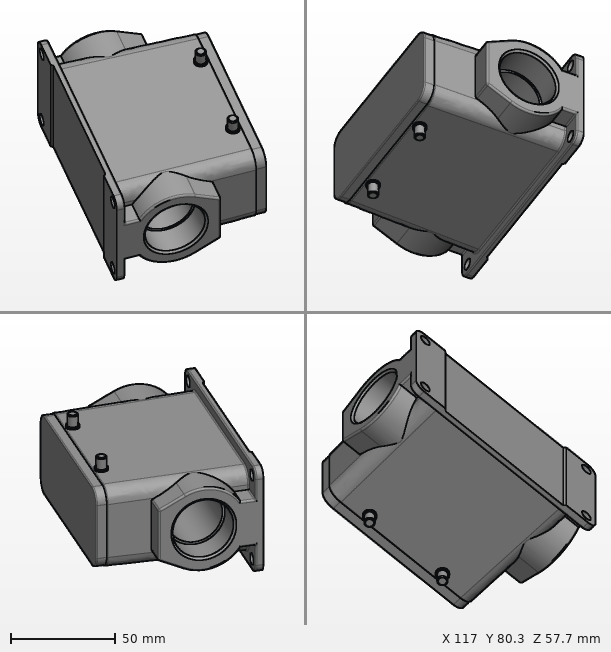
import cadquery as cq
import math

flange_length = 117.0
flange_width = 56.2
flange_thickness = 4.1
flange_corner_radius = 5.0
flange_edge_radius = 0.7
mount_hole_diameter = 5.7
mount_hole_spacing_x = 105.0
mount_hole_spacing_z = 45.0

relief_depth = 1.0
relief_length_outer = 78.9
relief_length_inner = 76.5

body_base_length = 95.2
body_base_width = 45.4
body_end_length = 92.9
body_end_width = 43.3
body_end_y = 75.0
body_corner_radius = 7.5
body_edge_radius = 0.6
foot_radius = 0.7

rim_length = 92.2
rim_width = 42.2
rim_end_y = 80.3
rim_corner_radius = 6.9
rim_edge_radius = 0.6

pin_diameter = 5.3
pin_span = 57.7
pin_chamfer = 0.6
pin_spacing = 47.5
pin_y = 70.8
collar_diameter = 6.8
collar_span = 45.2

port_axis_y = 30.0
port_radius = 22.2
port_end_y = 52.8
port_end_half_width = 13.6
port_neck_half_width = 12.4
port_depth = 19.9
port_corner_radius = 1.2
port_face_radius = 1.0
entry_diameter = 30.4
entry_depth = 15.2
entry_chamfer = 1.2
passage_diameter = 27.8


def section(length, width, corner_radius, y):
    """Rounded rectangle in the XZ plane at height y."""
    return cq.Sketch().rect(length, width).vertices().fillet(corner_radius).moved(
        cq.Location(cq.Plane((0, y, 0), (1, 0, 0), (0, 1, 0)))
    )


def slab(length, width, corner_radius, start_y, end_y):
    """Straight block with rounded corners between two heights along Y."""
    return (
        cq.Workplane("XZ", origin=(0, start_y, 0))
        .rect(length, width)
        .extrude(start_y - end_y)
        .edges("|Y")
        .fillet(corner_radius)
    )


def make_flange():
    flange = slab(flange_length, flange_width, flange_corner_radius, 0, flange_thickness)
    return flange.faces(">Y").edges().fillet(flange_edge_radius)


def make_body():
    base = section(body_base_length, body_base_width, body_corner_radius, flange_thickness)
    end = section(body_end_length, body_end_width, body_corner_radius, body_end_y)
    body = cq.Workplane("XY").placeSketch(base, end).loft(ruled=True)
    return body.faces(">Y").edges().fillet(body_edge_radius)


def make_rim():
    rim = slab(rim_length, rim_width, rim_corner_radius, body_end_y - body_edge_radius, rim_end_y)
    return rim.faces(">Y").edges().fillet(rim_edge_radius)


def make_port():
    """Cable entry at +X: a round boss with tapered flanks and a neck down to the flange."""
    corner_rise = port_end_y - port_axis_y
    corner_distance = math.hypot(corner_rise, port_end_half_width)
    tangent_angle = math.atan2(port_end_half_width, corner_rise) + math.acos(port_radius / corner_distance)
    tangent_y = port_axis_y + port_radius * math.cos(tangent_angle)
    tangent_z = port_radius * math.sin(tangent_angle)
    neck_y = port_axis_y - math.sqrt(port_radius**2 - port_neck_half_width**2)

    port = (
        cq.Workplane("YZ", origin=(flange_length / 2 - port_depth, 0, 0))
        .moveTo(relief_depth, -port_neck_half_width)
        .lineTo(neck_y, -port_neck_half_width)
        .threePointArc((port_axis_y, -port_radius), (tangent_y, -tangent_z))
        .lineTo(port_end_y, -port_end_half_width)
        .lineTo(port_end_y, port_end_half_width)
        .lineTo(tangent_y, tangent_z)
        .threePointArc((port_axis_y, port_radius), (neck_y, port_neck_half_width))
        .lineTo(relief_depth, port_neck_half_width)
        .close()
        .extrude(port_depth)
    )
    port = port.faces(">Y").edges("|X").fillet(port_corner_radius)
    return port.faces(">X").edges("not <Y").fillet(port_face_radius)


def make_entry():
    """Chamfered bore cutter for the cable entry at +X."""
    face = cq.Workplane("YZ", origin=(flange_length / 2, port_axis_y, 0))
    entry = face.circle(entry_diameter / 2).extrude(-entry_depth)
    countersink = (
        face.circle(entry_diameter / 2 + entry_chamfer)
        .workplane(offset=-entry_chamfer)
        .circle(entry_diameter / 2)
        .loft()
    )
    return entry.union(countersink)


def make_pin(x):
    """Locking pin with its collar, running through the body along Z."""
    centre = cq.Workplane("XY", origin=(x, pin_y, 0))
    pin = centre.circle(pin_diameter / 2).extrude(pin_span / 2, both=True)
    pin = pin.faces("<Z or >Z").chamfer(pin_chamfer)
    collar = centre.circle(collar_diameter / 2).extrude(collar_span / 2, both=True)
    return pin.union(collar)


def make_relief():
    """Trapezoidal relief running across the underside along Z."""
    return (
        cq.Workplane("XY")
        .moveTo(-relief_length_outer / 2, 0)
        .lineTo(relief_length_outer / 2, 0)
        .lineTo(relief_length_inner / 2, relief_depth)
        .lineTo(-relief_length_inner / 2, relief_depth)
        .close()
        .extrude(flange_width / 2, both=True)
    )


port = make_port()
result = make_flange().union(make_body()).union(port).union(port.mirror("YZ"))

foot_reach_x = flange_length / 2 - flange_edge_radius / 2
foot_reach_z = (body_base_width + foot_radius) / 2
foot_outline = cq.selectors.BoxSelector(
    (-foot_reach_x, flange_thickness - foot_radius / 2, -foot_reach_z),
    (foot_reach_x, flange_thickness + foot_radius / 2, foot_reach_z),
    boundingbox=True,
)
result = result.edges(foot_outline).fillet(foot_radius)

result = result.union(make_rim())

for side in (-1, 1):
    result = result.union(make_pin(side * pin_spacing / 2))

entry = make_entry()
result = result.cut(entry).cut(entry.mirror("YZ"))
passage = (
    cq.Workplane("YZ", origin=(0, port_axis_y, 0))
    .circle(passage_diameter / 2)
    .extrude(flange_length / 2, both=True)
)
result = result.cut(passage)

result = result.cut(make_relief())
mount_holes = (
    cq.Workplane("XZ")
    .rarray(mount_hole_spacing_x, mount_hole_spacing_z, 2, 2)
    .circle(mount_hole_diameter / 2)
    .extrude(-flange_thickness)
)
result = result.cut(mount_holes)